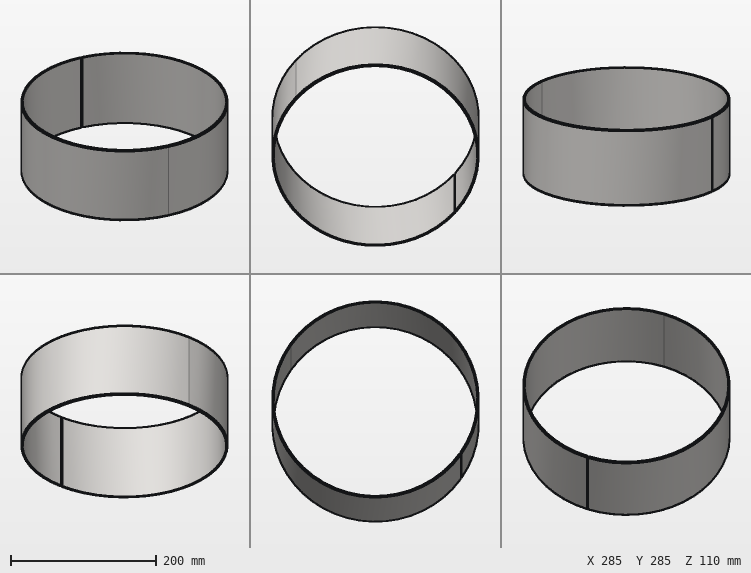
import cadquery as cq

outer_radius = 142.5
height = 110.0
wall = 2.5
outer_bevel_width = 0.75
outer_bevel_height = 2.0
inner_bevel_width = 0.3
inner_bevel_height = 0.9
slit_width = 2.5

inner_radius = outer_radius - wall
outer_rim_radius = outer_radius - outer_bevel_width
inner_rim_radius = inner_radius + inner_bevel_width
half_height = height / 2
outer_bevel_start = half_height - outer_bevel_height
inner_bevel_start = half_height - inner_bevel_height

band = (
    cq.Workplane("XZ")
    .polyline([
        (inner_rim_radius, -half_height),
        (outer_rim_radius, -half_height),
        (outer_radius, -outer_bevel_start),
        (outer_radius, outer_bevel_start),
        (outer_rim_radius, half_height),
        (inner_rim_radius, half_height),
        (inner_radius, inner_bevel_start),
        (inner_radius, -inner_bevel_start),
    ])
    .close()
    .revolve(360, (0, 0, 0), (0, 1, 0))
)

slit_cutter = (
    cq.Workplane("XY")
    .box(outer_radius, slit_width, height, centered=(False, False, True))
    .translate((-outer_radius, 0, 0))
)

result = band.cut(slit_cutter)